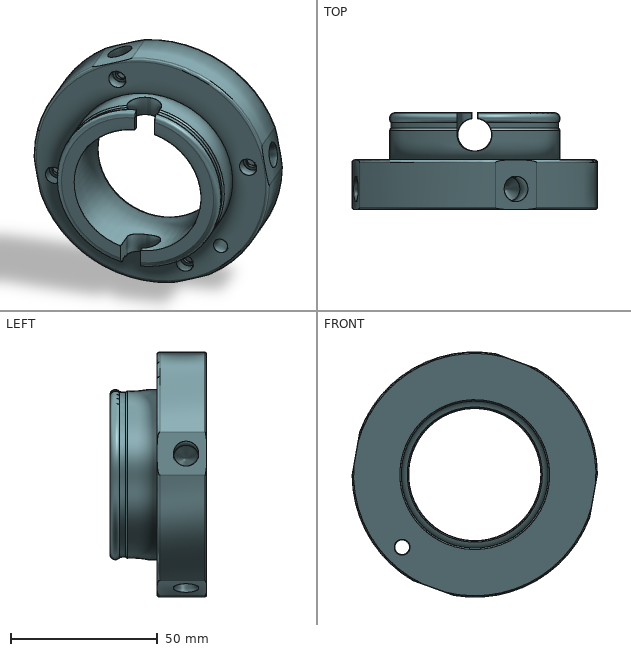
import cadquery as cq
import math

flange_radius = 41.75
flange_thickness = 16.95
front_chamfer = 0.5
back_fillet = 1.0

total_length = 33.0
sleeve_radius = 58.0 / 2
groove_radius = sleeve_radius - 0.5
groove_start = total_length - 6.0
groove_chamfer_length = 0.75
bead_radius = 2.0

bore_radius = 45.0 / 2
counterbore_radius = 50.0 / 2
counterbore_depth = 4.0
bore_chamfer = 0.5

flat_distance = 41.1
flat_angles = (70, 170, 250, 350)
spanner_hole_radius = 8.6 / 2
spanner_hole_depth = 8.0
spanner_hole_y = 7.0
drill_point_angle = 120

cross_hole_diameter = 4.0
cross_hole_distance = 35.0
cross_counterbore_diameter = 6.0
cross_counterbore_depth = 4.5

pin_hole_diameter = 5.0
pin_hole_chamfer = 0.2
pin_hole_offset = 24.7

lock_slot_width = 11.0
lock_slot_length = 11.8
lock_slot_depth = 7.5
lock_slot_left = -6.0
entry_width = 7.0


def make_body():
    """Revolve the flange, sleeve, bead and stepped bore around the Y axis."""
    bead_center_r = sleeve_radius - bead_radius
    bead_center_y = total_length - bead_radius
    bead_end_y = bead_center_y - math.sqrt(bead_radius**2 - (groove_radius - bead_center_r) ** 2)
    fillet_reach = back_fillet * math.sqrt(0.5)
    profile = (
        cq.Workplane("XY")
        .moveTo(counterbore_radius + bore_chamfer, 0)
        .lineTo(flange_radius - front_chamfer, 0)
        .lineTo(flange_radius, front_chamfer)
        .lineTo(flange_radius, flange_thickness - back_fillet)
        .threePointArc(
            (flange_radius - back_fillet + fillet_reach, flange_thickness - back_fillet + fillet_reach),
            (flange_radius - back_fillet, flange_thickness),
        )
        .lineTo(sleeve_radius, flange_thickness)
        .lineTo(sleeve_radius, groove_start)
        .lineTo(groove_radius, groove_start + groove_chamfer_length)
        .lineTo(groove_radius, bead_end_y)
        .threePointArc((sleeve_radius, bead_center_y), (bead_center_r, total_length))
        .lineTo(bore_radius, total_length)
        .lineTo(bore_radius, counterbore_depth + bore_chamfer)
        .lineTo(bore_radius + bore_chamfer, counterbore_depth)
        .lineTo(counterbore_radius, counterbore_depth)
        .lineTo(counterbore_radius, bore_chamfer)
        .close()
    )
    return profile.revolve(360, (0, 0, 0), (0, 1, 0))


def make_flat_cutter(angle):
    """Material outside one rim flat plus its blind drilled hole, turned to the given angle."""
    slab = cq.Workplane("XY").box(
        flange_radius, flange_thickness, 2 * flange_radius, centered=(False, False, True)
    ).translate((flat_distance, 0, 0))
    hole_floor = flat_distance - spanner_hole_depth
    point_length = spanner_hole_radius / math.tan(math.radians(drill_point_angle / 2))
    drill = (
        cq.Workplane("XY")
        .moveTo(hole_floor - point_length, spanner_hole_y)
        .lineTo(hole_floor, spanner_hole_y + spanner_hole_radius)
        .lineTo(flange_radius, spanner_hole_y + spanner_hole_radius)
        .lineTo(flange_radius, spanner_hole_y)
        .close()
        .revolve(360, (0, spanner_hole_y, 0), (1, spanner_hole_y, 0))
    )
    back_face = cq.Workplane("XZ", origin=(cross_hole_distance, flange_thickness, 0))
    cross_hole = back_face.circle(cross_hole_diameter / 2).extrude(flange_thickness - spanner_hole_y)
    counterbore = back_face.circle(cross_counterbore_diameter / 2).extrude(cross_counterbore_depth)
    return slab.union(drill).union(cross_hole).union(counterbore).rotate((0, 0, 0), (0, 1, 0), -angle)


def make_slot_cutter():
    """Radial lock slot on the +Z side with an entry along its -X edge from the sleeve end."""
    lock_slot = (
        cq.Workplane("XY")
        .center(lock_slot_left + lock_slot_length / 2, total_length - lock_slot_depth)
        .slot2D(lock_slot_length, lock_slot_width)
        .extrude(flange_radius)
    )
    entry = (
        cq.Workplane("XY")
        .center(lock_slot_left + entry_width / 2, total_length - lock_slot_depth / 2)
        .rect(entry_width, lock_slot_depth)
        .extrude(flange_radius)
    )
    return lock_slot.union(entry)


def make_pin_hole_cutter():
    """Pin hole running the full flange thickness, lightly chamfered at the front face."""
    pin_radius = pin_hole_diameter / 2
    return (
        cq.Workplane("XY")
        .lineTo(pin_radius + pin_hole_chamfer, 0)
        .lineTo(pin_radius, pin_hole_chamfer)
        .lineTo(pin_radius, flange_thickness)
        .lineTo(0, flange_thickness)
        .close()
        .revolve(360, (0, 0, 0), (0, 1, 0))
        .translate((-pin_hole_offset, 0, -pin_hole_offset))
    )


result = make_body().cut(make_pin_hole_cutter())
for flat_angle in flat_angles:
    result = result.cut(make_flat_cutter(flat_angle))
for slot_angle in (0, 180):
    result = result.cut(make_slot_cutter().rotate((0, 0, 0), (0, 1, 0), slot_angle))